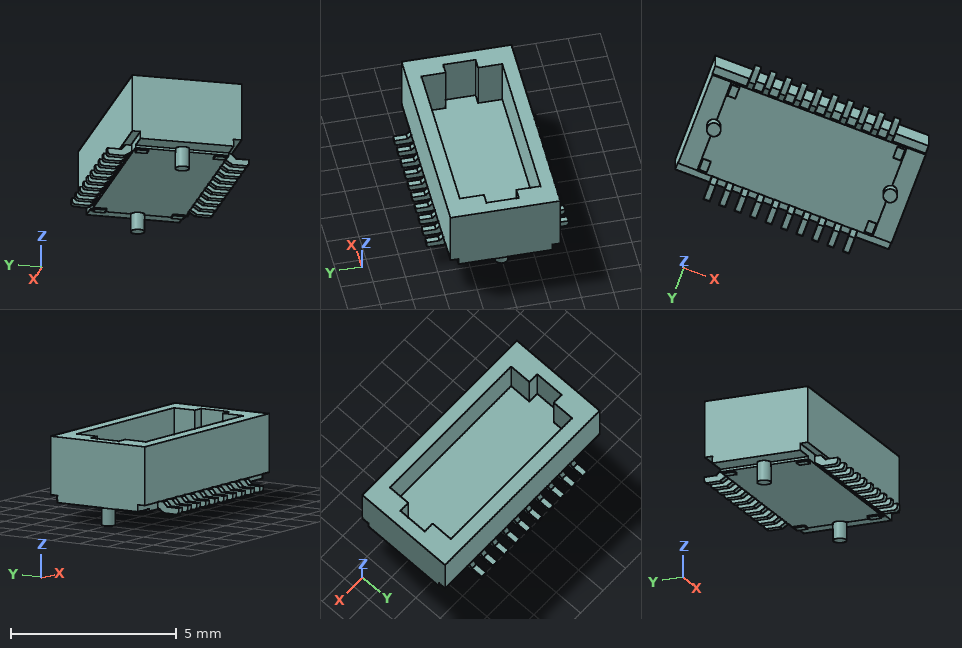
import cadquery as cq

body_length = 6.9
body_width = 3.4
top_z = 2.2
upper_height = 1.8
base_width = 2.9
end_height = 2.02
middle_height = 2.1
middle_length = 5.67

cavity_length = 5.4
cavity_width = 2.5
cavity_depth = 1.5
key_length = 6.1
key_width = 1.0

pin_diameter = 0.42
pin_spacing = 5.7
pin_bottom_z = -0.45

pad_length = 0.25
pad_width = 0.36
pad_height = 0.05
pad_spacing_x = 5.35
pad_spacing_y = 2.43

leads_per_row = 10
lead_pitch = 0.5
lead_width = 0.2
lead_thickness = 0.2
lead_tip_y = 2.2
lead_top_z = 0.35
lead_root_bottom_z = 0.14
lead_upper_bend_y = 1.65
lead_lower_bend_y = 1.67
lead_tip_radius = 0.1

base_bottom_z = top_z - middle_height


def block(length, width, bottom_z, block_top_z):
    """Box centred on the Z axis between two heights."""
    height = block_top_z - bottom_z
    return cq.Workplane("XY").workplane(offset=bottom_z).rect(length, width).extrude(height)


def make_housing():
    upper = block(body_length, body_width, top_z - upper_height, top_z)
    base = block(body_length, base_width, top_z - end_height, top_z)
    middle = block(middle_length, base_width, base_bottom_z, top_z)
    floor_z = top_z - cavity_depth
    cavity = block(cavity_length, cavity_width, floor_z, top_z)
    key_slots = block(key_length, key_width, floor_z, top_z)
    return upper.union(base).union(middle).cut(cavity.union(key_slots))


def make_pins():
    pin_top_z = top_z - end_height
    return (
        cq.Workplane("XY")
        .workplane(offset=pin_bottom_z)
        .rarray(pin_spacing, 1, 2, 1)
        .circle(pin_diameter / 2)
        .extrude(pin_top_z - pin_bottom_z)
    )


def make_pads():
    return (
        cq.Workplane("XY")
        .workplane(offset=base_bottom_z - pad_height)
        .rarray(pad_spacing_x, pad_spacing_y, 2, 2)
        .rect(pad_length, pad_width)
        .extrude(pad_height)
    )


def make_lead(center_x):
    """Lead on the +Y side: root at the base wall, 45 degree upper bend, flat foot."""
    root_y = base_width / 2
    foot_top_y = lead_upper_bend_y + lead_top_z - lead_thickness
    return (
        cq.Workplane("YZ")
        .workplane(offset=center_x - lead_width / 2)
        .moveTo(root_y, lead_top_z)
        .lineTo(lead_upper_bend_y, lead_top_z)
        .lineTo(foot_top_y, lead_thickness)
        .lineTo(lead_tip_y, lead_thickness)
        .lineTo(lead_tip_y, lead_tip_radius)
        .radiusArc((lead_tip_y - lead_tip_radius, 0), lead_tip_radius)
        .lineTo(lead_lower_bend_y, 0)
        .lineTo(root_y, lead_root_bottom_z)
        .close()
        .extrude(lead_width)
    )


result = make_housing().union(make_pins()).union(make_pads())
first_lead_x = -lead_pitch * (leads_per_row - 1) / 2
for index in range(leads_per_row):
    lead = make_lead(first_lead_x + index * lead_pitch)
    result = result.union(lead).union(lead.mirror("XZ"))